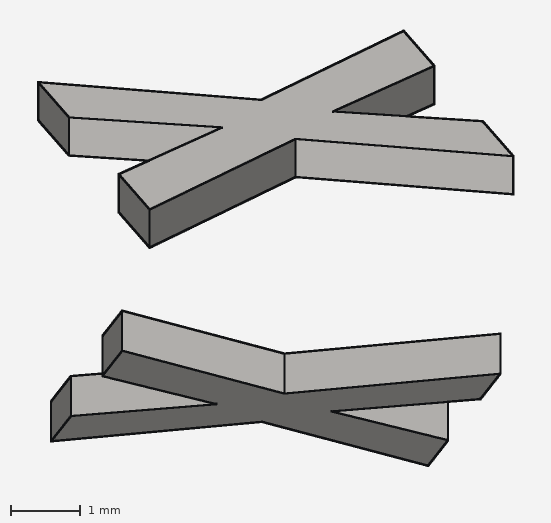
import cadquery as cq

height = 5.53
foot_width = 4.78
thickness = 0.6

foot_outer = foot_width / 2
foot_inner = 1.06
top_outer = 2.35
top_inner = 1.035
waist = 0.735

lower_crotch = 1.945
waist_height = 2.8
upper_crotch = 3.63

right_half = [
    (0, lower_crotch),
    (foot_inner, 0),
    (foot_outer, 0),
    (waist, waist_height),
    (top_outer, height),
    (top_inner, height),
    (0, upper_crotch),
]

result = (
    cq.Workplane("XY")
    .polyline(right_half)
    .mirrorY()
    .extrude(thickness)
    .translate((0, -height / 2, -thickness / 2))
)